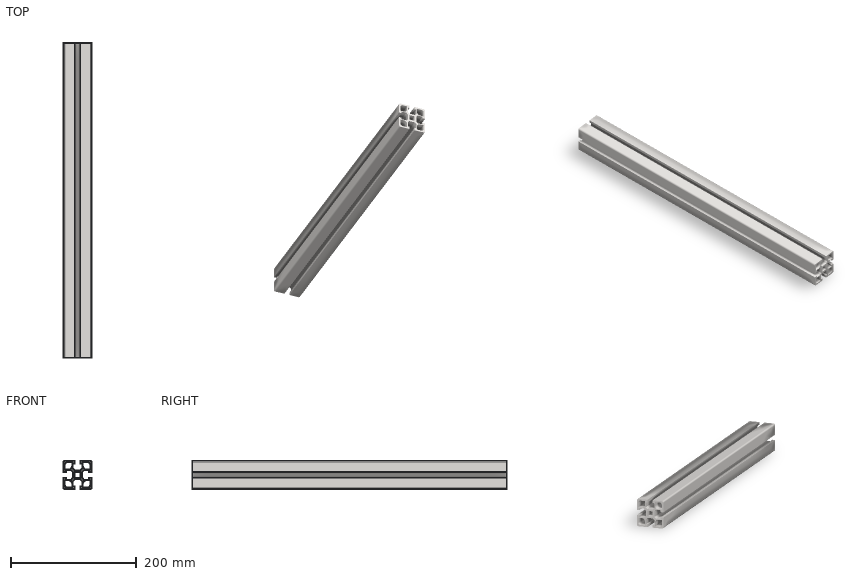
import cadquery as cq

side = 45.0
length = 500.0
corner_radius = 2.5

slot_opening = 8.75
lip_depth = 4.55
slot_width = 14.8
slot_bottom_chamfer = 2.75

hub_width = 14.5
bore_width = 8.5

outer_wall = 2.5
slot_wall = 1.2
chamber_outer_radius = 3.75
chamber_inner_radius = 5.5

half_side = side / 2
half_hub = hub_width / 2
channel_height = half_side - half_hub - lip_depth
chamber_start = slot_width / 2 + slot_wall
chamber_end = half_side - outer_wall
chamber_width = chamber_end - chamber_start


def bar(width, height, x=0, z=0):
    """Full-length rectangular bar centred on (x, z)."""
    return cq.Workplane("XY").box(width, length, height).translate((x, 0, z))


def t_slot():
    """T-shaped cutter for the slot on the +Z side, with a chamfered bottom."""
    opening = bar(slot_opening, lip_depth, z=half_side - lip_depth / 2)
    channel = bar(slot_width, channel_height, z=half_hub + channel_height / 2)
    channel = channel.faces("<Z").edges("|Y").chamfer(slot_bottom_chamfer)
    return opening.union(channel)


def corner_chamber():
    """Cutter for the +X +Z corner, rounded at its outermost and innermost edges."""
    centre = (chamber_start + chamber_end) / 2
    chamber = bar(chamber_width, chamber_width, centre, centre)
    chamber = chamber.edges("|Y and >X and >Z").fillet(chamber_outer_radius)
    return chamber.edges("|Y and <X and <Z").fillet(chamber_inner_radius)


result = bar(side, side).edges("|Y").fillet(corner_radius)
result = result.cut(bar(bore_width, bore_width))
for quarter_turn in range(4):
    angle = 90 * quarter_turn
    for cutter in (t_slot(), corner_chamber()):
        result = result.cut(cutter.rotate((0, 0, 0), (0, 1, 0), angle))